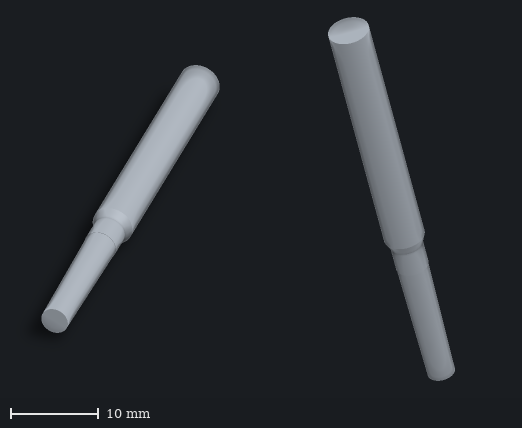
import cadquery as cq

total_length = 50.8
shank_diameter = 4.8
neck_diameter = 3.8
tip_root_diameter = 3.7
tip_end_diameter = 3.2
tip_length = 15.9
neck_length = 3.15
shoulder_length = 1.2

tip_end_y = -total_length / 2
joint_y = tip_end_y + tip_length
neck_top_y = joint_y + neck_length
shoulder_top_y = neck_top_y + shoulder_length
shank_end_y = tip_end_y + total_length


def revolve_about_y(profile):
    """Revolve a closed (radius, y) profile into a solid around the Y axis."""
    return cq.Workplane("XY").polyline(profile).close().revolve(360, (0, 0, 0), (0, 1, 0))


def make_holder():
    """Cylindrical shank, conical shoulder and straight neck in one piece."""
    return revolve_about_y([
        (0, joint_y),
        (neck_diameter / 2, joint_y),
        (neck_diameter / 2, neck_top_y),
        (shank_diameter / 2, shoulder_top_y),
        (shank_diameter / 2, shank_end_y),
        (0, shank_end_y),
    ])


def make_tip():
    """Tapered tip that butts against the neck, slightly narrower than it, with a flat end."""
    return revolve_about_y([
        (0, tip_end_y),
        (tip_end_diameter / 2, tip_end_y),
        (tip_root_diameter / 2, joint_y),
        (0, joint_y),
    ])


holder = make_holder()
tip = make_tip()

result = cq.Compound.makeCompound([holder.val(), tip.val()])